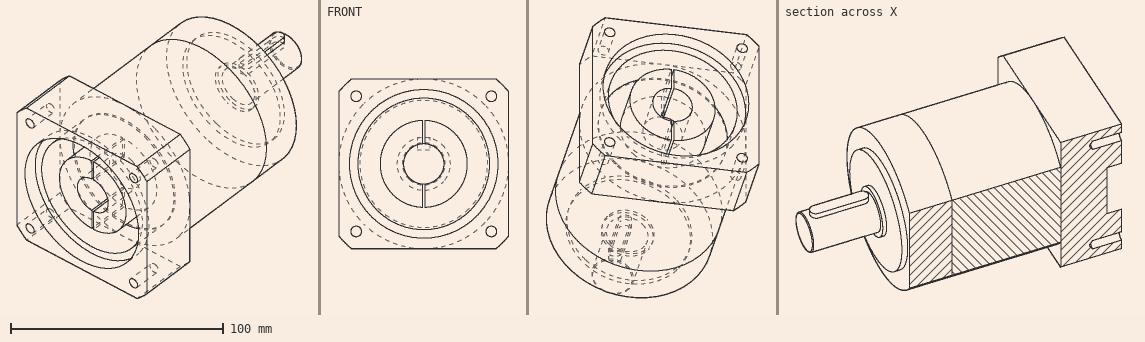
import cadquery as cq
import math

body_width = 80.0

flange_length = 31.5
flange_corner_diameter = 105.0
motor_pilot_diameter = 70.0
motor_pilot_depth = 7.5
flange_bore_diameter = 62.0
bolt_circle_diameter = 90.0
bolt_hole_diameter = 5.0
bolt_hole_depth = 15.0
drill_point_angle = 118.0

gear_housing_length = 56.0
output_housing_length = 22.0
output_pilot_diameter = 60.0
output_pilot_length = 3.0

hub_diameter = 41.0
hub_recess = 8.0
hub_bore_diameter = 19.0
hub_slot_width = 1.2
hub_base_thickness = 1.0

shaft_diameter = 20.0
shaft_length = 35.0
shaft_end_chamfer = 0.5
shoulder_diameter = 25.0
shoulder_length = 2.0
key_width = 6.0
key_length = 30.0
key_height = 6.0
key_seat_depth = 3.5
key_end_distance = 3.0

gear_housing_start = flange_length
output_housing_start = gear_housing_start + gear_housing_length
output_pilot_start = output_housing_start + output_housing_length
shoulder_start = output_pilot_start + output_pilot_length
shaft_start = shoulder_start + shoulder_length
shaft_end = shaft_start + shaft_length
hub_base_start = flange_length - hub_base_thickness


def section_at(y):
    """Workplane at station y that extrudes towards +Y."""
    return cq.Workplane("XZ", origin=(0, y, 0)).transformed(rotate=(180, 0, 0))


def cylinder(diameter, start, end):
    return section_at(start).circle(diameter / 2).extrude(end - start)


def make_bolt_holes():
    """Blind drilled holes with a conical bottom, one near each flange corner."""
    radius = bolt_hole_diameter / 2
    point_depth = radius / math.tan(math.radians(drill_point_angle / 2))
    tip_depth = bolt_hole_depth + point_depth
    drill = (
        cq.Workplane("XY")
        .polyline([(0, 0), (radius, 0), (radius, bolt_hole_depth), (0, tip_depth)])
        .close().revolve(360, (0, 0), (0, 1))
    )
    offset = bolt_circle_diameter / 2 * math.sin(math.radians(45))
    holes = cq.Workplane("XY")
    for x in (-offset, offset):
        for z in (-offset, offset):
            holes = holes.add(drill.translate((x, 0, z)))
    return holes.combine()


def make_flange():
    square = section_at(0).rect(body_width, body_width).extrude(flange_length)
    flange = square.intersect(cylinder(flange_corner_diameter, 0, flange_length))
    flange = flange.cut(cylinder(motor_pilot_diameter, 0, motor_pilot_depth))
    flange = flange.cut(cylinder(flange_bore_diameter, 0, flange_length))
    return flange.cut(make_bolt_holes())


def make_gear_housing():
    return cylinder(body_width, gear_housing_start, output_housing_start)


def make_output_housing():
    housing = cylinder(body_width, output_housing_start, output_pilot_start)
    return housing.union(cylinder(output_pilot_diameter, output_pilot_start, shoulder_start))


def make_hub():
    """Bored boss on a thin base disc, slotted across its full width down to the disc."""
    boss = cylinder(hub_diameter, hub_recess, hub_base_start)
    slot_length = hub_base_start - hub_recess
    slot = section_at(hub_recess).rect(hub_slot_width, hub_diameter).extrude(slot_length)
    base = cylinder(flange_bore_diameter, hub_base_start, flange_length)
    bore = cylinder(hub_bore_diameter, hub_recess, flange_length)
    return base.union(boss.cut(slot)).cut(bore)


def make_key():
    center_y = shaft_end - key_end_distance - key_length / 2
    seat_z = shaft_diameter / 2 - key_seat_depth
    return (
        cq.Workplane("XY", origin=(0, center_y, seat_z))
        .slot2D(key_length, key_width, 90).extrude(key_height)
    )


def make_shaft(key):
    shaft = cylinder(shaft_diameter, shaft_start, shaft_end).faces(">Y").chamfer(shaft_end_chamfer)
    shaft = shaft.union(cylinder(shoulder_diameter, shoulder_start, shaft_start))
    return shaft.cut(key)


flange = make_flange()
gear_housing = make_gear_housing()
output_housing = make_output_housing()
hub = make_hub()
key = make_key()
shaft = make_shaft(key)

bodies = [flange, gear_housing, output_housing, hub, key, shaft]
result = cq.Compound.makeCompound([body.val() for body in bodies])